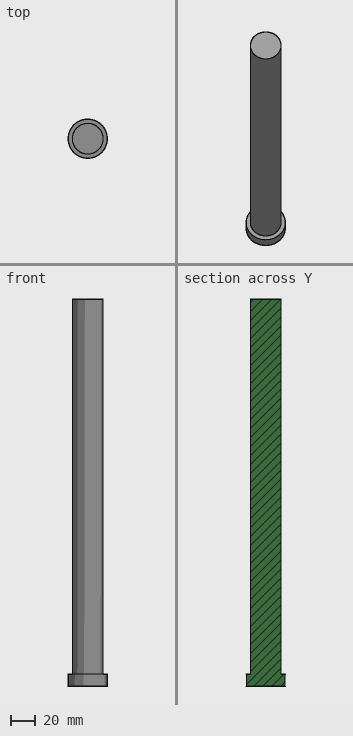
import cadquery as cq

overall_length = 315.0
head_diameter = 32.0
head_thickness = 10.0
shaft_diameter = 25.0


def make_head():
    """Flat cylindrical head standing on the XY plane."""
    return cq.Workplane("XY").circle(head_diameter / 2).extrude(head_thickness)


def make_shaft():
    """Straight shaft running the full length along Z, through the head."""
    return cq.Workplane("XY").circle(shaft_diameter / 2).extrude(overall_length)


result = make_head().union(make_shaft())